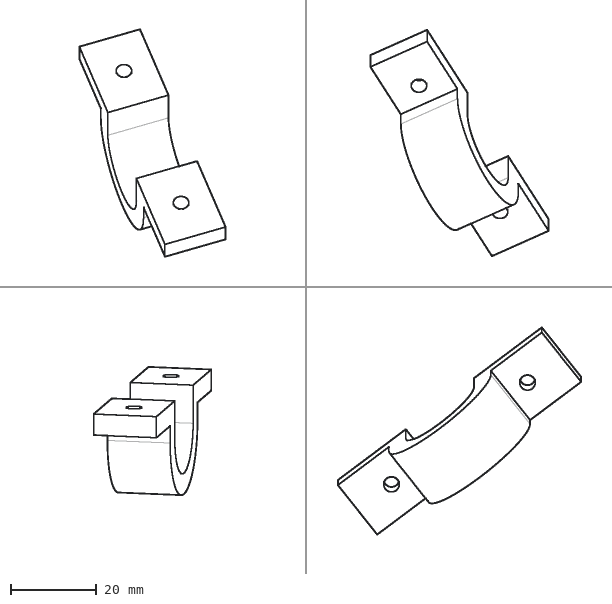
import cadquery as cq

length = 60.0
width = 15.0
height = 24.0

outer_radius = length / 4
inner_radius = length / 6
wall = outer_radius - inner_radius
arc_center_z = outer_radius - height

hole_diameter = 3.6
hole_x = (length / 2 + inner_radius) / 2

strap = (
    cq.Workplane("XZ")
    .moveTo(-length / 2, 0)
    .lineTo(-inner_radius, 0)
    .lineTo(-inner_radius, arc_center_z)
    .threePointArc((0, arc_center_z - inner_radius), (inner_radius, arc_center_z))
    .lineTo(inner_radius, 0)
    .lineTo(length / 2, 0)
    .lineTo(length / 2, -wall)
    .lineTo(outer_radius, -wall)
    .lineTo(outer_radius, arc_center_z)
    .threePointArc((0, -height), (-outer_radius, arc_center_z))
    .lineTo(-outer_radius, -wall)
    .lineTo(-length / 2, -wall)
    .close()
    .extrude(width / 2, both=True)
)

screw_holes = (
    cq.Workplane("XY")
    .pushPoints([(-hole_x, 0), (hole_x, 0)])
    .circle(hole_diameter / 2)
    .extrude(-wall)
)

result = strap.cut(screw_holes)